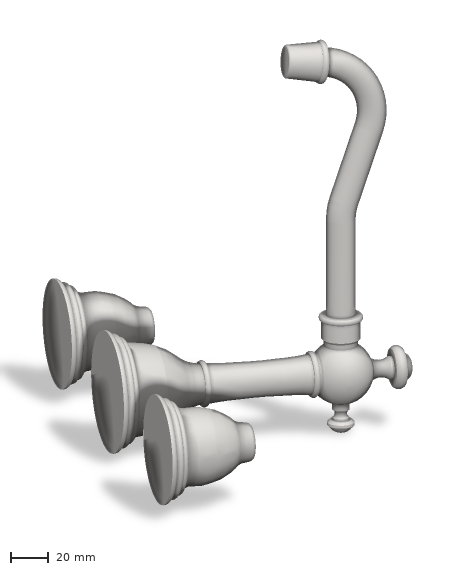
import cadquery as cq
import math


overall_width = 262.6
cover_rim_radius = 29.7
spout_rim_radius = 33.0
cover_offset = overall_width / 2 - cover_rim_radius

rim_edge = 0.8
rim_round = 2.4
tier_wall = 2.4
upper_tier_wall = 1.0
tier_round = 1.8
foot_height = rim_edge + rim_round + tier_wall + upper_tier_wall + 2 * tier_round

waist_height = 27.0


cover_height = 51.5
cover_neck_radius = 10.5
cover_neck_base_radius = 11.0
cover_neck_base = 45.7
cover_shoulder = 40.7
cover_shoulder_radius = 14.0
cover_waist_radius = 20.2
cover_belly_radius = 21.0
cover_belly = 17.3
cover_top_radius = 9.2
cover_lip = 49.5
cover_foot_hollow = 1.0
cover_belly_swell = 0.5
cover_dome_swell = 1.0
cover_flare_hollow = 0.5
cover_lip_swell = 0.3

bell_foot_radius = 25.7
bell_waist_radius = 22.8
bell_shoulder = 39.5
bell_shoulder_radius = 15.8
arm_end_radius = 11.0
arm_radius = 10.0
bead_radius = 12.5
bead_width = 3.2
bell_skirt_swell = 0.5
bell_dome_swell = 0.8
bell_flare_hollow = 1.0
arm_hollow = 0.3
bead_bulge = 0.25
front_bead = 51.0
rear_bead = 111.0
arm_middle_start = 71.7
arm_middle_end = 93.8
ball_neck_radius = 11.5

ball_y = 128.7
ball_radius = 17.5

socket_neck_radius = 9.2
socket_radius = 10.5
socket_flange_radius = 11.8
socket_neck_top = 17.9
socket_base = 19.2
socket_flange_base = 29.2
socket_top = 32.3

pipe_radius = 8.0
pipe_bend_start = 86.0
pipe_bend_radius = 29.5
pipe_lean = math.radians(19)
pipe_lean_length = 42.5
outlet_rise = math.radians(5.5)

nozzle_length = 21.5
nozzle_collar_radius = 11.8
nozzle_collar_width = 3.5
nozzle_base_radius = 10.8
nozzle_tip_radius = 9.0
nozzle_tip_round = 1.0

rear_knob_end = 167.0
rear_knob_tip_radius = 4.2
rear_knob_dome_radius = 8.0
rear_knob_disc_radius = 11.8
rear_knob_disc_start = 156.8
rear_knob_disc_end = 162.8
rear_knob_collar_radius = 6.3
rear_knob_collar_start = 155.0
rear_knob_waist_hollow = 1.3
rear_knob_dome_swell = 0.8
rear_knob_root_radius = 5.8
rear_knob_root = 146.0

lower_knob_end = spout_rim_radius
lower_knob_stem_radius = 4.7
lower_knob_stem_end = 20.7
lower_knob_waist_hollow = 1.3
lower_knob_collar_radius = 4.5
lower_knob_collar_start = 25.2
lower_knob_collar_end = 26.5
lower_knob_disc_radius = 7.4
lower_knob_disc_start = 27.8
lower_knob_disc_end = 29.5
lower_knob_shoulder_radius = 6.0
lower_knob_dome_start = 30.7
lower_knob_dome_swell = 0.3
lower_knob_tip_radius = 3.2


def turn(profile):
    """Close a half profile on its axis and revolve it about the local vertical axis.

    Along a rising profile a positive arc height is a hollow and a negative one a swell;
    along a falling profile it is the other way round.
    """
    return profile.close().revolve(360, (0, 0, 0), (0, 1, 0))


def bead_edge(profile, radius, start, end):
    """Add a rounded bead between two heights to a half profile."""
    bulge = bead_bulge * (end - start)
    edge_radius = radius - abs(bulge)
    return profile.lineTo(edge_radius, start).sagittaArc((edge_radius, end), -bulge)


def quarter_round(profile, rim_radius, height, size):
    """Round a rising wall inwards; returns the profile with its new radius and height."""
    top = (rim_radius - size, height + size)
    return profile.radiusArc(top, -size), *top


def foot_profile(rim_radius):
    """Start a half profile at the wall with the tiered foot; it ends on top of the foot."""
    profile = cq.Workplane("XY").lineTo(rim_radius, 0)
    radius = rim_radius
    height = 0
    tiers = [(rim_edge, rim_round), (tier_wall, tier_round), (upper_tier_wall, tier_round)]
    for wall, round_size in tiers:
        profile = profile.lineTo(radius, height + wall)
        profile, radius, height = quarter_round(profile, radius, height + wall, round_size)
    return profile


def make_valve_cover(x):
    profile = (
        foot_profile(cover_rim_radius)
        .sagittaArc((cover_belly_radius, cover_belly), cover_foot_hollow)
        .sagittaArc((cover_waist_radius, waist_height), -cover_belly_swell)
        .sagittaArc((cover_shoulder_radius, cover_shoulder), -cover_dome_swell)
        .sagittaArc((cover_neck_base_radius, cover_neck_base), cover_flare_hollow)
        .lineTo(cover_neck_radius, cover_lip)
        .sagittaArc((cover_top_radius, cover_height), -cover_lip_swell)
        .lineTo(0, cover_height)
    )
    return turn(profile).translate((x, 0, 0))


def make_bell_and_arm():
    profile = (
        foot_profile(spout_rim_radius)
        .lineTo(bell_foot_radius, foot_height)
        .sagittaArc((bell_waist_radius, waist_height), -bell_skirt_swell)
        .sagittaArc((bell_shoulder_radius, bell_shoulder), -bell_dome_swell)
        .sagittaArc((arm_end_radius, front_bead), bell_flare_hollow)
    )
    profile = (
        bead_edge(profile, bead_radius, front_bead, front_bead + bead_width)
        .lineTo(arm_end_radius, front_bead + bead_width)
        .sagittaArc((arm_radius, arm_middle_start), arm_hollow)
        .sagittaArc((arm_radius, arm_middle_end), arm_hollow)
        .sagittaArc((arm_end_radius, rear_bead), arm_hollow)
    )
    profile = (
        bead_edge(profile, bead_radius, rear_bead, rear_bead + bead_width)
        .lineTo(ball_neck_radius, rear_bead + bead_width)
        .lineTo(ball_neck_radius, ball_y)
        .lineTo(0, ball_y)
    )
    return turn(profile)


def make_ball():
    return cq.Workplane("XY").sphere(ball_radius).translate((0, ball_y, 0))


def make_socket():
    profile = (
        cq.Workplane("XZ", origin=(0, ball_y, 0))
        .lineTo(socket_neck_radius, 0)
        .lineTo(socket_neck_radius, socket_neck_top)
        .lineTo(socket_radius, socket_base)
        .lineTo(socket_radius, socket_flange_base)
    )
    profile = bead_edge(profile, socket_flange_radius, socket_flange_base, socket_top)
    return turn(profile.lineTo(0, socket_top))


def on_lower_bend(angle):
    return (
        ball_y + pipe_bend_radius * (1 - math.cos(angle)),
        pipe_bend_start + pipe_bend_radius * math.sin(angle),
    )


lean_start = on_lower_bend(pipe_lean)
lean_end = (
    lean_start[0] + pipe_lean_length * math.sin(pipe_lean),
    lean_start[1] + pipe_lean_length * math.cos(pipe_lean),
)
hook_centre = (
    lean_end[0] - pipe_bend_radius * math.cos(pipe_lean),
    lean_end[1] + pipe_bend_radius * math.sin(pipe_lean),
)


def on_hook(angle):
    """Point of the hook at an angle above the +Y direction."""
    return (
        hook_centre[0] + pipe_bend_radius * math.cos(angle),
        hook_centre[1] + pipe_bend_radius * math.sin(angle),
    )


hook_end_angle = math.pi / 2 - outlet_rise
outlet = on_hook(hook_end_angle)


def make_pipe():
    path = (
        cq.Workplane("YZ")
        .moveTo(ball_y, socket_flange_base)
        .lineTo(ball_y, pipe_bend_start)
        .threePointArc(on_lower_bend(pipe_lean / 2), lean_start)
        .lineTo(*lean_end)
        .threePointArc(on_hook((hook_end_angle - pipe_lean) / 2), outlet)
    )
    section = cq.Workplane("XY", origin=(0, ball_y, socket_flange_base)).circle(pipe_radius)
    return section.sweep(path)


def make_nozzle():
    plane = cq.Plane(
        origin=(0, *outlet),
        xDir=(1, 0, 0),
        normal=(0, -math.sin(outlet_rise), -math.cos(outlet_rise)),
    )
    profile = bead_edge(cq.Workplane(plane), nozzle_collar_radius, 0, nozzle_collar_width)
    profile = (
        profile.lineTo(nozzle_base_radius, nozzle_collar_width)
        .lineTo(nozzle_tip_radius, nozzle_length)
        .lineTo(0, nozzle_length)
    )
    return turn(profile).faces("<Y").edges().fillet(nozzle_tip_round)


def make_rear_knob():
    profile = (
        cq.Workplane("XY")
        .moveTo(0, ball_y)
        .lineTo(rear_knob_root_radius, ball_y)
        .lineTo(rear_knob_root_radius, rear_knob_root)
        .sagittaArc((rear_knob_collar_radius, rear_knob_collar_start), rear_knob_waist_hollow)
        .lineTo(rear_knob_collar_radius, rear_knob_disc_start)
    )
    profile = (
        bead_edge(profile, rear_knob_disc_radius, rear_knob_disc_start, rear_knob_disc_end)
        .lineTo(rear_knob_dome_radius, rear_knob_disc_end)
        .sagittaArc((rear_knob_tip_radius, rear_knob_end), -rear_knob_dome_swell)
        .lineTo(0, rear_knob_end)
    )
    return turn(profile)


def make_lower_knob():
    profile = (
        cq.Workplane("XZ", origin=(0, ball_y, 0))
        .lineTo(lower_knob_stem_radius, 0)
        .lineTo(lower_knob_stem_radius, -lower_knob_stem_end)
        .sagittaArc((lower_knob_collar_radius, -lower_knob_collar_start), -lower_knob_waist_hollow)
        .lineTo(lower_knob_collar_radius, -lower_knob_collar_end)
        .lineTo(lower_knob_shoulder_radius, -lower_knob_collar_end)
        .lineTo(lower_knob_disc_radius, -lower_knob_disc_start)
        .lineTo(lower_knob_disc_radius, -lower_knob_disc_end)
        .lineTo(lower_knob_shoulder_radius, -lower_knob_dome_start)
        .sagittaArc((lower_knob_tip_radius, -lower_knob_end), lower_knob_dome_swell)
        .lineTo(0, -lower_knob_end)
    )
    return turn(profile)


spout = (
    make_bell_and_arm()
    .union(make_ball())
    .union(make_socket())
    .union(make_pipe())
    .union(make_nozzle())
    .union(make_rear_knob())
    .union(make_lower_knob())
)
valve_covers = [make_valve_cover(side * cover_offset) for side in (-1, 1)]

result = cq.Compound.makeCompound([spout.solids().val(), *[cover.val() for cover in valve_covers]])